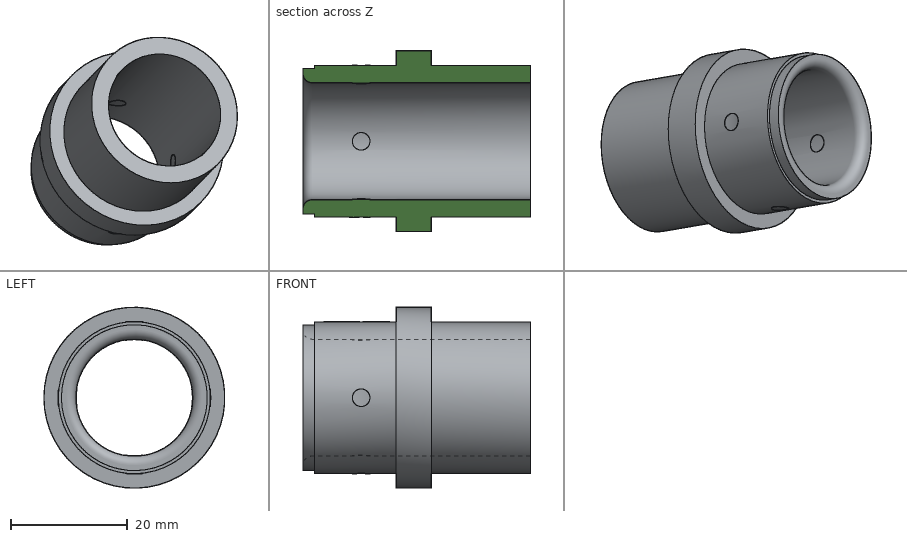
import cadquery as cq

length = 39.0
body_diameter = 26.0
bore_diameter = 20.0

lip_diameter = 24.95
lip_length = 2.0
mouth_radius = 1.6

collar_diameter = 31.0
collar_start = 16.0
collar_width = 6.0

plug_diameter = 3.0
plug_position = 10.0
plug_count = 4
plug_proud = 0.08


def cylinder(diameter, start, width):
    """Solid cylinder along X, from start to start + width."""
    return cq.Workplane("YZ").workplane(offset=start).circle(diameter / 2).extrude(width)


def make_sleeve():
    """Stepped tube with a collar and a rounded bore mouth."""
    outside = (
        cylinder(lip_diameter, 0, lip_length)
        .union(cylinder(body_diameter, lip_length, length - lip_length))
        .union(cylinder(collar_diameter, collar_start, collar_width))
    )
    sleeve = outside.cut(cylinder(bore_diameter, 0, length))
    bore_mouth_edge = sleeve.faces("<X").edges(cq.selectors.RadiusNthSelector(0))
    return bore_mouth_edge.fillet(mouth_radius)


def make_plugs():
    """Ring of radial plugs whose ends follow the curves of the body and the bore."""
    band_start = plug_position - plug_diameter
    band_width = 2 * plug_diameter
    band = cylinder(body_diameter + 2 * plug_proud, band_start, band_width).cut(
        cylinder(bore_diameter - 2 * plug_proud, band_start, band_width)
    )
    pin = cq.Workplane("XY").center(plug_position, 0).circle(plug_diameter / 2).extrude(collar_diameter / 2)
    pins = cq.Workplane("XY")
    for index in range(plug_count):
        angle = index * 360 / plug_count
        pins = pins.add(pin.rotate((0, 0, 0), (1, 0, 0), angle))
    return pins.combine().intersect(band)


result = make_sleeve().union(make_plugs())